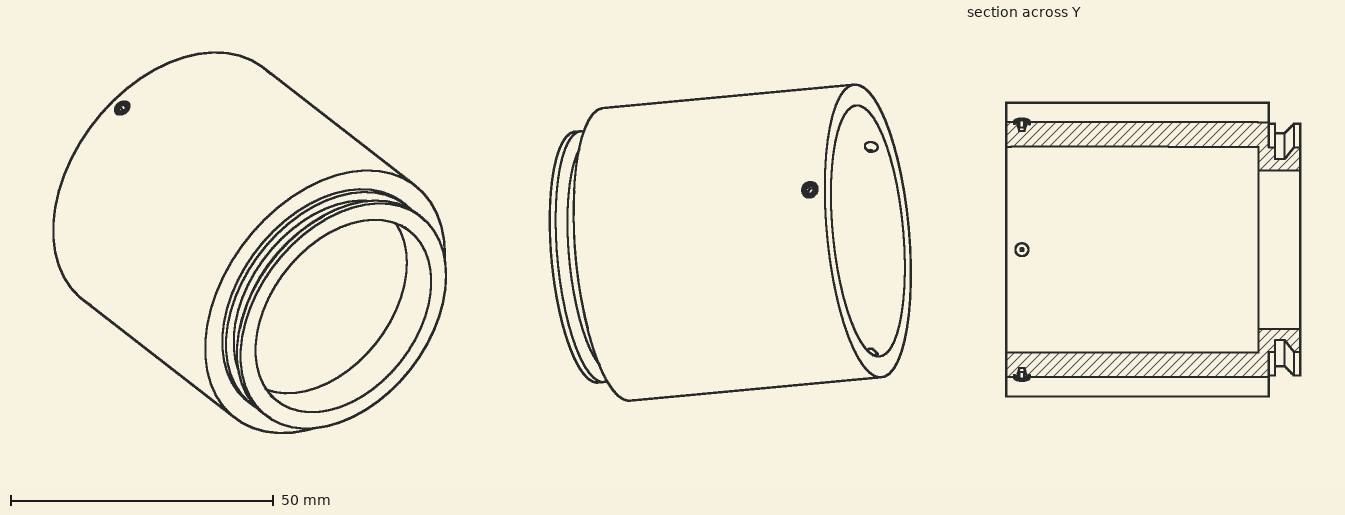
import cadquery as cq
import math

tube_diameter = 56.0
tube_length = 50.0
socket_diameter = 48.0
shoulder_thickness = 2.0
through_diameter = 41.0

overall_length = 56.0
spigot_diameter = 48.0
groove_diameter = 44.4
land_width = 1.2
groove_depth = (spigot_diameter - groove_diameter) / 2
flank_width = groove_depth

screw_count = 3
screw_distance = 3.0
screw_diameter = 3.0
screw_recess = 0.1
screw_chamfer = 0.3
hex_across_flats = 1.5
hex_depth = 1.5
screw_root_diameter = 2.5
screw_tip_diameter = 0.6
screw_protrusion = 1.2
tip_embedment = 0.5

tube_radius = tube_diameter / 2
socket_radius = socket_diameter / 2


def tube_with_spigot():
    """Revolve the outer outline and the two bores around the X axis."""
    groove_end = overall_length - land_width - flank_width
    outline = [
        (0, socket_radius),
        (0, tube_radius),
        (tube_length, tube_radius),
        (tube_length, spigot_diameter / 2),
        (tube_length + land_width, spigot_diameter / 2),
        (tube_length + land_width, groove_diameter / 2),
        (groove_end, groove_diameter / 2),
        (overall_length - land_width, spigot_diameter / 2),
        (overall_length, spigot_diameter / 2),
        (overall_length, through_diameter / 2),
        (tube_length - shoulder_thickness, through_diameter / 2),
        (tube_length - shoulder_thickness, socket_radius),
    ]
    return cq.Workplane("XY").polyline(outline).close().revolve(360, (0, 0, 0), (1, 0, 0))


def radial_plane(radius):
    """Plane facing outwards along +Y at the given radius, centred on the first screw."""
    return cq.Workplane(cq.Plane((screw_distance, radius, 0), (1, 0, 0), (0, 1, 0)))


def screw_head_pocket():
    """Space above the recessed screw head, around its chamfer and inside its hex socket."""
    head_radius = tube_radius - screw_recess
    clear_radius = tube_radius + screw_recess
    screw_radius = screw_diameter / 2
    half_outline = [
        (screw_distance, head_radius),
        (screw_distance + screw_radius - screw_chamfer, head_radius),
        (screw_distance + screw_radius, head_radius - screw_chamfer),
        (screw_distance + screw_radius, clear_radius),
        (screw_distance, clear_radius),
    ]
    screw_axis = ((screw_distance, 0, 0), (screw_distance, 1, 0))
    space_above_head = cq.Workplane("XY").polyline(half_outline).close().revolve(360, *screw_axis)
    across_corners = hex_across_flats / math.cos(math.pi / 6)
    hex_socket = radial_plane(head_radius).polygon(6, across_corners).extrude(-hex_depth)
    return space_above_head.union(hex_socket)


def screw_tip():
    """Truncated cone that points from the socket wall towards the tube axis."""
    root_radius = screw_root_diameter / 2
    tip_radius = screw_tip_diameter / 2
    taper = (root_radius - tip_radius) / screw_protrusion
    embedded_radius = root_radius + taper * tip_embedment
    return (
        radial_plane(socket_radius + tip_embedment)
        .circle(embedded_radius)
        .workplane(offset=-(tip_embedment + screw_protrusion))
        .circle(tip_radius)
        .loft()
    )


def around_axis(shape, angle):
    return shape.rotate((0, 0, 0), (1, 0, 0), angle)


result = tube_with_spigot()
for index in range(screw_count):
    screw_angle = index * 360 / screw_count
    result = result.union(around_axis(screw_tip(), screw_angle))
    result = result.cut(around_axis(screw_head_pocket(), screw_angle))